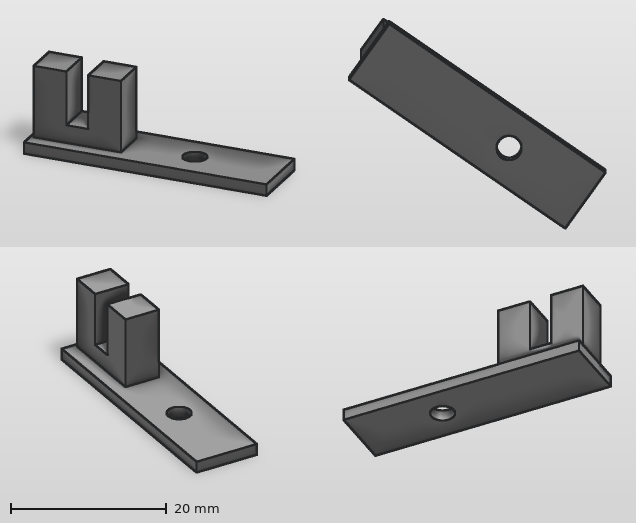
import cadquery as cq

plate_length = 34
plate_width = 9.0
plate_thickness = 1.6

hole_diameter = 3.2
hole_x = 22.0

block_start_x = 0.48
block_length = 12.25
block_width = 5.0
block_height = 10.0

slot_width = 3.05
slot_depth = 7.5

block_center_x = block_start_x + block_length / 2
total_height = plate_thickness + block_height


def make_plate():
    plate = cq.Workplane("XY").box(
        plate_length, plate_width, plate_thickness, centered=(False, True, False)
    )
    hole = cq.Workplane("XY").center(hole_x, 0).circle(hole_diameter / 2).extrude(plate_thickness)
    return plate.cut(hole)


def make_forked_block():
    block = (
        cq.Workplane("XY", origin=(block_center_x, 0, plate_thickness))
        .rect(block_length, block_width)
        .extrude(block_height)
    )
    slot = (
        cq.Workplane("XY", origin=(block_center_x, 0, total_height))
        .rect(slot_width, block_width)
        .extrude(-slot_depth)
    )
    return block.cut(slot)


result = make_plate().union(make_forked_block())